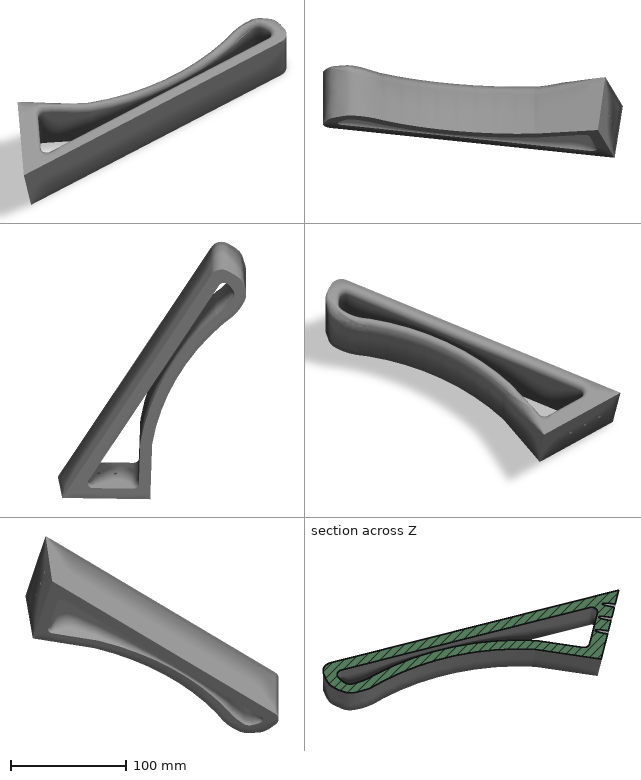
import cadquery as cq
import math

WIDTH = 69.83
LENGTH = 275.95
HEIGHT = 48.05

BASE_SKEW = math.radians(29.07)
BASE_LEAN = math.radians(7.8)

LEG_TILT = math.radians(28.35)
LEG_END_Y = 93.0
GRIP_RADIUS = 213.0
GRIP_CENTER_Y = 172.4
GRIP_WAIST_X = -26.0
GRIP_END_Y = 229.0
JOINT_RADIUS = 10.0

HEAD_BULGE_X = -38.3
NOSE_RADIUS = 18.0
HEAD_JOINT_TURN = math.radians(6.5)
CROWN_RADIUS = 36.3
HEAD_CORNER_RADIUS = 10.0

WALL = 10.3
RAIL_WIDTH = 11.0
WINDOW_CORNER_RADIUS = 5.0
WINDOW_RIM_RADIUS = 4.5
GRIP_RIM_RADIUS = 12.0

HOLE_DIAMETER = 3.0
HOLE_PITCH = 15.0
HOLE_COUNT = 3
HOLE_ROW_CENTER = 34.6
HOLE_DEPTH = 20.0

CREST_FADE = 0.5
CREST_STEPS = 8
CLEARANCE = 1.0

corner_y = WIDTH * math.tan(BASE_SKEW)
leg_end_x = -WIDTH + (LEG_END_Y - corner_y) * math.tan(LEG_TILT)
rail_edge_x = -HEAD_CORNER_RADIUS
base_setback = HEIGHT * math.tan(BASE_LEAN)
along_base = cq.Vector(-math.cos(BASE_SKEW), math.sin(BASE_SKEW), 0)
base_inward = cq.Vector(math.sin(BASE_SKEW), math.cos(BASE_SKEW), 0)
along_leg = cq.Vector(math.sin(LEG_TILT), math.cos(LEG_TILT), 0)


def base_y(x):
    """Y of the top edge of the base at a given X."""
    return -x * math.tan(BASE_SKEW)


def grip_x(y):
    """X of the grip arc at a given Y."""
    sagitta = GRIP_RADIUS - math.sqrt(GRIP_RADIUS**2 - (y - GRIP_CENTER_Y) ** 2)
    return GRIP_WAIST_X - sagitta


leg_end = (leg_end_x, LEG_END_Y)
grip_end = (grip_x(GRIP_END_Y), GRIP_END_Y)

crown_center_y = LENGTH - CROWN_RADIUS
nose_center_x = HEAD_BULGE_X + NOSE_RADIUS
center_distance = CROWN_RADIUS - NOSE_RADIUS
center_dx = nose_center_x - rail_edge_x
center_dy = math.sqrt(center_distance**2 - center_dx**2)
bulge_y = crown_center_y + center_dy
nose_end = (
    rail_edge_x + center_dx * CROWN_RADIUS / center_distance,
    crown_center_y + center_dy * CROWN_RADIUS / center_distance,
)
nose_middle_angle = (math.pi + math.atan2(center_dy, center_dx)) / 2
nose_middle = (
    nose_center_x + NOSE_RADIUS * math.cos(nose_middle_angle),
    bulge_y + NOSE_RADIUS * math.sin(nose_middle_angle),
)
head_bulge = (HEAD_BULGE_X, bulge_y)
crown_top = (rail_edge_x, LENGTH)

leg_middle = ((leg_end_x - WIDTH) / 2, (LEG_END_Y + corner_y) / 2, HEIGHT)
grip_middle = (GRIP_WAIST_X, GRIP_CENTER_Y, HEIGHT)
head_middle = (*head_bulge, HEIGHT)


def near(x, y, z):
    """Selector for the object nearest to a point."""
    return cq.selectors.NearestToPointSelector((x, y, z))


def trace_outline(start_x, setback):
    """Open outline from the base at start_x, round the leg and grip, to the start of the head.

    The base line is moved inwards by setback.
    """
    start_y = base_y(start_x) + setback / math.cos(BASE_SKEW)
    corner = cq.Vector(-WIDTH, corner_y, 0) + along_leg * setback
    return (
        cq.Workplane("XY")
        .moveTo(start_x, start_y)
        .lineTo(corner.x, corner.y)
        .lineTo(*leg_end)
        .radiusArc(grip_end, -GRIP_RADIUS)
    )


def grip_body():
    """Base, leg, grip and head up to the rail, with the two joints of the grip blended."""
    head_lean = math.asin((GRIP_END_Y - GRIP_CENTER_Y) / GRIP_RADIUS) + HEAD_JOINT_TURN
    body = (
        trace_outline(rail_edge_x, 0)
        .spline(
            [head_bulge, nose_middle, nose_end, crown_top],
            tangents=[(-math.sin(head_lean), math.cos(head_lean)), (1, 0)],
            includeCurrent=True,
        )
        .close()
        .extrude(HEIGHT)
    )
    for x, y in (leg_end, grip_end):
        body = body.edges("|Z").edges(near(x, y, HEIGHT / 2)).fillet(JOINT_RADIUS)
    return body


def round_grip_rim(body):
    """Round the grip's top edge, growing from nothing at the base corner and fading out at the crown."""
    leg_edge = body.edges(near(*leg_middle)).val()
    rounding = cq.occ_impl.shapes.BRepFilletAPI_MakeFillet(body.val().wrapped)
    rounding.Add(leg_edge.wrapped)
    edge_count = rounding.NbEdges(1)
    for index in range(2, edge_count):
        rounding.SetRadius(GRIP_RIM_RADIUS, 1, index)
    rounding.SetRadius(0.0, GRIP_RIM_RADIUS, 1, 1)
    rounding.SetRadius(GRIP_RIM_RADIUS, 0.0, 1, edge_count)
    return cq.Workplane(cq.Shape.cast(rounding.Shape()))


def rail():
    """Straight rail along X = 0, rounded at the head end."""
    return (
        cq.Workplane("XY")
        .lineTo(0, LENGTH - HEAD_CORNER_RADIUS)
        .radiusArc(crown_top, -HEAD_CORNER_RADIUS)
        .lineTo(rail_edge_x, base_y(rail_edge_x))
        .close()
        .extrude(HEIGHT)
    )


def base_wedge():
    """Material removed so that the base leans inwards towards the bottom."""
    section = cq.Plane(origin=(0, 0, 0), xDir=base_inward, normal=along_base * -1)
    return (
        cq.Workplane(section)
        .polyline([(0, 0), (0, HEIGHT), (base_setback, 0)])
        .close()
        .extrude(2 * WIDTH, both=True)
    )


def window():
    """Opening inside the bottom outline, with rounded corners."""
    start_x = WALL - RAIL_WIDTH
    side_dx = grip_end[0] - HEAD_BULGE_X
    side_dy = bulge_y - GRIP_END_Y
    side_radius = (side_dx**2 + side_dy**2) / (2 * side_dx)
    opening = (
        trace_outline(start_x, base_setback)
        .radiusArc(head_bulge, side_radius)
        .radiusArc(nose_end, NOSE_RADIUS)
        .radiusArc(crown_top, CROWN_RADIUS)
        .lineTo(start_x, LENGTH)
        .close()
        .offset2D(-WALL)
        .extrude(HEIGHT)
    )
    base_inset = base_setback + WALL
    tip = (-RAIL_WIDTH, base_y(-RAIL_WIDTH) + base_inset / math.cos(BASE_SKEW))
    corner = cq.Vector(-WIDTH, corner_y, 0) + along_leg * base_inset - along_base * WALL
    for x, y in (tip, (corner.x, corner.y), (-RAIL_WIDTH, LENGTH - WALL)):
        opening = opening.edges("|Z").edges(near(x, y, HEIGHT / 2)).fillet(WINDOW_CORNER_RADIUS)
    return opening


def framed_window():
    """Full outline with the window cut through and the window's top edge rounded."""
    frame = grip_body().union(rail()).cut(window())
    return frame.edges(near(-RAIL_WIDTH, LENGTH / 2, HEIGHT)).fillet(WINDOW_RIM_RADIUS)


def faded_radius(fraction):
    """Radius of the grip's rim rounding while it fades in, easing at both ends."""
    return GRIP_RIM_RADIUS * fraction**2 * (3 - 2 * fraction)


def crest_section(edge, fraction, outer_radius):
    """Section of the material over the crest, where the two rim roundings run into each other.

    The window rounding touches the window wall and, from inside, the grip rounding.
    """
    foot = edge.positionAt(fraction)
    heading = edge.tangentAt(fraction)
    inward = cq.Vector(heading.y, -heading.x, 0)

    def place(across, below):
        return foot + inward * across - cq.Vector(0, 0, below)

    center_across = WALL - WINDOW_RIM_RADIUS
    radius_gap = outer_radius - WINDOW_RIM_RADIUS
    center_below = outer_radius - math.sqrt(radius_gap**2 - (outer_radius - center_across) ** 2)
    sweep = math.atan2(outer_radius - center_below, center_across - outer_radius)

    def on_rounding(angle):
        return place(
            center_across + WINDOW_RIM_RADIUS * math.cos(angle),
            center_below - WINDOW_RIM_RADIUS * math.sin(angle),
        )

    wall_end = on_rounding(0)
    crest_end = on_rounding(sweep)
    above_end = cq.Vector(crest_end.x, crest_end.y, HEIGHT + CLEARANCE)
    inside_across = WALL + CLEARANCE
    inside_top = place(inside_across, -CLEARANCE)
    inside_bottom = place(inside_across, center_below)
    corners = [crest_end, above_end, inside_top, inside_bottom, wall_end]
    edges = [cq.Edge.makeLine(start, end) for start, end in zip(corners, corners[1:])]
    edges.append(cq.Edge.makeThreePointArc(wall_end, on_rounding(sweep / 2), crest_end))
    return cq.Wire.assembleEdges(edges)


def crest_cuts(body):
    """Material over the crest of the grip, from midway along the leg to midway round the head."""
    leg, grip, head = [body.edges(near(*middle)).val() for middle in (leg_middle, grip_middle, head_middle)]
    rising = [1 - CREST_FADE * (1 - step / CREST_STEPS) for step in range(CREST_STEPS + 1)]
    leg_sections = [crest_section(leg, fraction, faded_radius(fraction)) for fraction in rising]
    grip_sections = [crest_section(grip, fraction, GRIP_RIM_RADIUS) for fraction in (0, 1)]
    head_sections = [
        crest_section(head, 1 - fraction, faded_radius(fraction)) for fraction in reversed(rising)
    ]

    grip_center = cq.Vector(grip.arcCenter())
    grip_angle = math.degrees(grip.Length() / grip.radius())
    grip_cut = cq.Solid.revolve(
        grip_sections[0], [], grip_angle, grip_center, grip_center + cq.Vector(0, 0, 1)
    )
    return [
        cq.Solid.makeLoft(leg_sections),
        grip_cut,
        cq.Solid.makeLoft(head_sections),
        cq.Solid.makeLoft([leg_sections[-1], grip_sections[0]], True),
        cq.Solid.makeLoft([grip_sections[1], head_sections[0]], True),
    ]


def base_holes():
    """Row of holes at mid-height, square to the leaning base face."""
    normal = base_inward * math.cos(BASE_LEAN) + cq.Vector(0, 0, math.sin(BASE_LEAN))
    origin = along_base * HOLE_ROW_CENTER + base_inward * (base_setback / 2) + cq.Vector(0, 0, HEIGHT / 2)
    face = cq.Plane(origin=origin, xDir=along_base * -1, normal=normal)
    return (
        cq.Workplane(face)
        .rarray(HOLE_PITCH, 1, HOLE_COUNT, 1)
        .circle(HOLE_DIAMETER / 2)
        .extrude(HOLE_DEPTH)
    )


body = grip_body()
rounded = round_grip_rim(body).union(rail())
result = rounded.intersect(framed_window()).cut(base_wedge())
for crest in crest_cuts(body):
    result = result.cut(cq.Workplane(crest))
result = result.cut(base_holes())